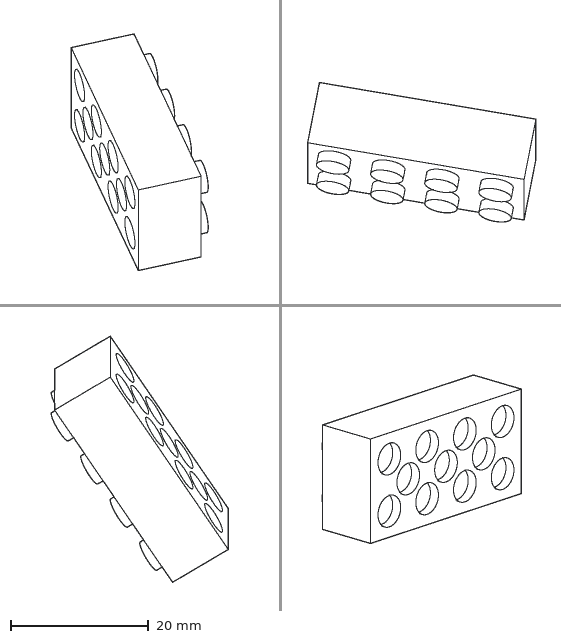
import cadquery as cq

length = 32.0
depth = 9.6
columns = 4
rows = 2
pitch = length / columns
height = rows * pitch

stud_diameter = 4.8
stud_height = 1.6
socket_depth = 1.6


def grid_points(column_count, row_count):
    """Centres of a pitch-spaced grid about the middle of the block."""
    return [
        ((column - (column_count - 1) / 2) * pitch, (row - (row_count - 1) / 2) * pitch)
        for column in range(column_count)
        for row in range(row_count)
    ]


def cylinders(points, start_y, cylinder_length):
    """Stud-diameter cylinders running along +Y from start_y."""
    return (
        cq.Workplane("XZ", origin=(0, start_y, 0))
        .pushPoints(points)
        .circle(stud_diameter / 2)
        .extrude(-cylinder_length)
    )


block = cq.Workplane("XY").box(length, depth, height, centered=(True, False, True))

stud_points = grid_points(columns, rows)
studs = cylinders(stud_points, depth, stud_height)

socket_points = stud_points + grid_points(columns - 1, rows - 1)
sockets = cylinders(socket_points, 0, socket_depth)

result = block.union(studs).cut(sockets)